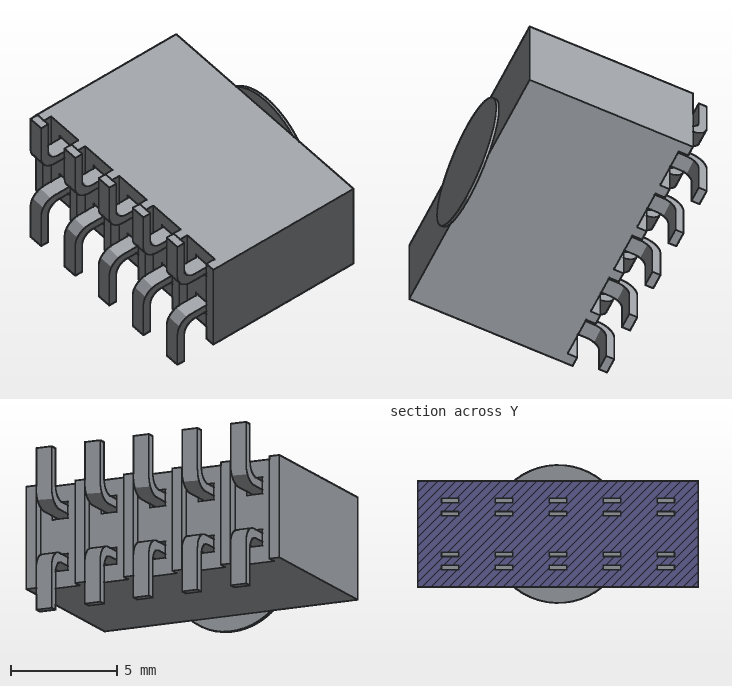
import cadquery as cq

housing_width = 13.21
housing_depth = 8.51
housing_height = 4.99
front_y = -housing_depth

pin_columns = 5
pin_pitch = 2.54
row_offset = pin_pitch / 2
column_xs = [(i - (pin_columns - 1) / 2) * pin_pitch for i in range(pin_columns)]

slot_width = 2.03
slot_depth = 0.5
slot_floor_y = front_y + slot_depth

pin_width = 0.8
pin_thickness = 0.42
pin_reach = 1.25
tail_tip_z = 3.94
outer_bend_radius = 0.85
inner_bend_radius = 0.65
recess_size = pin_width
recess_depth = recess_size
recess_floor_y = slot_floor_y + recess_depth

pad_diameter = 6.5
pad_thickness = 0.15


def make_block():
    """Plain housing block."""
    block = cq.Workplane("XY").box(housing_width, housing_depth, housing_height)
    return block.translate((0, -housing_depth / 2, 0))


def make_slot(x):
    """Cutter for the full-height slot in front of one column of pins."""
    slot = cq.Workplane("XY").box(slot_width, slot_depth, housing_height)
    return slot.translate((x, front_y + slot_depth / 2, 0))


def make_recess(x, z):
    """Cutter for the square recess around the root of one pin."""
    recess = cq.Workplane("XY").box(recess_size, recess_depth, recess_size)
    return recess.translate((x, slot_floor_y + recess_depth / 2, z))


def make_upper_pin(x):
    """Pin that leaves its recess toward -Y and bends upward into a vertical tail."""
    root_bottom = row_offset - pin_thickness / 2
    root_top = root_bottom + pin_thickness
    tail_outer_y = front_y - pin_reach
    tail_inner_y = tail_outer_y + pin_thickness
    profile = (
        cq.Workplane("YZ", origin=(x, 0, 0))
        .moveTo(recess_floor_y, root_bottom)
        .lineTo(tail_outer_y + outer_bend_radius, root_bottom)
        .radiusArc((tail_outer_y, root_bottom + outer_bend_radius), outer_bend_radius)
        .lineTo(tail_outer_y, tail_tip_z)
        .lineTo(tail_inner_y, tail_tip_z)
        .lineTo(tail_inner_y, root_top + inner_bend_radius)
        .radiusArc((tail_inner_y + inner_bend_radius, root_top), -inner_bend_radius)
        .lineTo(recess_floor_y, root_top)
        .close()
    )
    return profile.extrude(pin_width / 2, both=True)


def make_housing():
    """Housing with its slots, recesses and both rows of pins, as one solid."""
    body = make_block()
    for x in column_xs:
        body = body.cut(make_slot(x))
        for z in (row_offset, -row_offset):
            body = body.cut(make_recess(x, z))
    for x in column_xs:
        upper_pin = make_upper_pin(x)
        lower_pin = upper_pin.mirror("XY")
        body = body.union(upper_pin).union(lower_pin)
    return body


def make_pad():
    """Thin disc lying against the rear face of the housing."""
    disc = cq.Workplane("XZ").circle(pad_diameter / 2)
    return disc.extrude(-pad_thickness)


housing = make_housing()
pad = make_pad()

result = cq.Compound.makeCompound([housing.solids().val(), pad.val()])